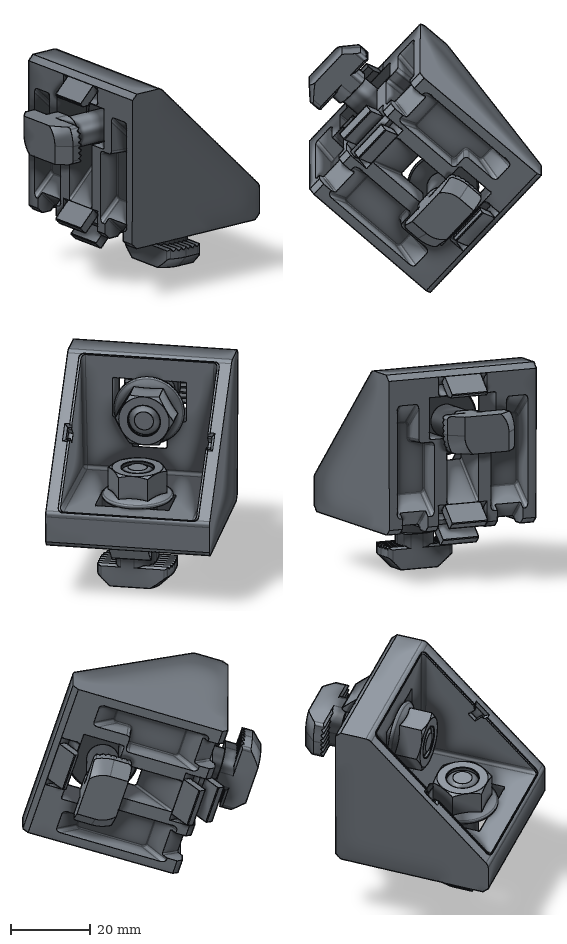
import cadquery as cq
import math

WIDTH = 42.0
LEG = 41.0
SLOPE_SUM = 50.0
LEG_THICKNESS = 9.5
CORNER_CHAMFER = 1.4
SLOPE_EDGE_RADIUS = 2.0
SIDE_DRAFT = 0.2

CAVITY_HALF_WIDTH = 17.45
CAVITY_DRAFT = 1.05
CAVITY_FILLET = 1.0
RIM_HALF_WIDTH = 18.0
RIM_LENGTH = 44.0
RIM_DEPTH = 0.2
RIM_CORNER_RADIUS = 1.35
SNAP_HALF_WIDTH = 18.5
SNAP_BEVEL = 0.7
SNAP_LENGTH = 2.5
SNAP_LIP_RADIUS = 1.2
SNAP_DEPTH = 3.25

BOLT_OFFSET = 26.5
WINDOW_HALF_WIDTH = 9.45
WINDOW_BOTTOM = 23.75
WINDOW_TOP = 34.5
WINDOW_CORNER_RADIUS = 0.3
WINDOW_FOOT_RADIUS = 0.65
SLOT_HALF_WIDTH = 4.5
SLOT_FLOOR_FILLET = 0.55

ROOT_SUM = 6.75
LOWER_ROOT = 6.6
UPPER_ROOT = 39.55
NOTCH_HALF_WIDTH = 6.85
UPPER_NOTCH_DEPTH = 2.45
UPPER_NOTCH_FILLET = 0.6
TONGUE_OFFSET = 1.4
TONGUE_SUM = 3.95
TAB_HALF_WIDTH = 5.05
TAB_RISE = 3.3
TAB_REACH = 8.25
TAB_ROOT_SINK = 0.55
TAB_TIP_CHAMFER = 0.2
END_TAB_FLOOR = 34.6

POCKET_OUTER_X = 18.5
POCKET_STEP_X = 12.45
POCKET_INNER_X = 8.05
POCKET_TOP = 33.05
POCKET_STEP = 23.1
POCKET_BOTTOM = 4.05
POCKET_DEPTH = 5.3
POCKET_DRAFT_ANGLE = 3.0
POCKET_CORNER_RADIUS = 1.0
POCKET_FLOOR_FILLET = 0.3
WEB_NOTCH_OUTER_X = 17.1
WEB_NOTCH_INNER_X = 9.85
WEB_NOTCH_FILLET = 0.4

BOLT_RADIUS = 4.05
BOLT_TIP_RADIUS = 2.45
BOLT_TIP_LENGTH = 0.9
NECK_RADIUS = 4.85
NECK_CORNER_RADIUS = 1.3
NECK_START = 4.4
TOOTH_CREST = 7.4
HEAD_CHAMFER_START = 10.05
HEAD_END = 13.3
HEAD_HALF_LENGTH = 9.5
HEAD_CORNER_RADIUS = 1.0
TOOTH_PITCH = 1.4
TOOTH_COUNT = 7

NUT_HEIGHT = 8.0
NUT_FLATS = 13.05
NUT_CHAMFER_RADIUS = 6.45
NUT_CHAMFER_ANGLE = 30.0
FLANGE_RADIUS = 9.0
FLANGE_EDGE = 0.5
FLANGE_SHOULDER_RADIUS = 8.65
FLANGE_SHOULDER_HEIGHT = 1.05
FLANGE_ANGLE = 23.0
NUT_SINK_RADIUS = 4.25

CLEAR = 2.7
NUT_TOP = LEG_THICKNESS + NUT_HEIGHT
CORNER_DEPTH = SLOPE_SUM / math.sqrt(2)


def side_prism(points, half_width):
    """Extrude a (Y, Z) outline symmetrically about the plane X = 0."""
    return cq.Workplane("YZ").polyline(points).close().extrude(half_width, both=True)


def x_range_prism(points, x_start, x_end):
    """Extrude a (Y, Z) outline between two X positions."""
    return cq.Workplane("YZ").workplane(offset=x_start).polyline(points).close().extrude(x_end - x_start)


def diagonal_wedge(half_width, draft):
    """Trapezoid narrowing from the sloping face to the corner, long enough to cover the whole bracket."""
    plane = cq.Plane((0, SLOPE_SUM / 2, SLOPE_SUM / 2), xDir=(1, 0, 0), normal=(0, 1, -1))
    overrun = CLEAR * draft / CORNER_DEPTH
    wide = half_width + overrun
    narrow = half_width - draft - overrun
    outline = [(-wide, -CLEAR), (wide, -CLEAR), (narrow, CORNER_DEPTH + CLEAR), (-narrow, CORNER_DEPTH + CLEAR)]
    return cq.Workplane(plane).polyline(outline).close().extrude(LEG, both=True)


def on_both_legs(feature):
    """The front-leg shape together with its mirror image on the bottom leg."""
    return [feature, feature.mirror((0, 1, -1))]


def bracket_blank():
    """Solid triangular block with cut-off ends and slightly drafted sides."""
    short_edge = SLOPE_SUM - LEG
    c = CORNER_CHAMFER
    outline = [
        (c, 0), (LEG - c, 0), (LEG, c), (LEG, short_edge),
        (short_edge, LEG), (c, LEG), (0, LEG - c), (0, c),
    ]
    blank = side_prism(outline, WIDTH / 2)
    for y, z in [(LEG, short_edge), (short_edge, LEG)]:
        blank = blank.edges(cq.selectors.NearestToPointSelector((0, y, z))).fillet(SLOPE_EDGE_RADIUS)
    return blank.intersect(diagonal_wedge(WIDTH / 2, SIDE_DRAFT))


def cavity():
    """Space between the side walls, running past the sloping face; its inner edges are rounded."""
    low, high = LEG_THICKNESS, LEG + CLEAR
    space = side_prism([(low, low), (high, low), (high, high), (low, high)], WIDTH)
    space = space.intersect(diagonal_wedge(CAVITY_HALF_WIDTH, CAVITY_DRAFT))
    inner_edges = space.faces("<Y or <Z").edges().filter(
        lambda edge: max(edge.Center().y, edge.Center().z) < LEG
    )
    return inner_edges.fillet(CAVITY_FILLET)


def slope_plane():
    """Plane on the sloping face: local X along X, local Y up the slope, normal into the bracket."""
    return cq.Plane((0, SLOPE_SUM / 2, SLOPE_SUM / 2), xDir=(1, 0, 0), normal=(0, -1, -1))


def cavity_rim():
    """Shallow seat around the cavity opening."""
    rim = cq.Workplane(slope_plane()).rect(2 * RIM_HALF_WIDTH, RIM_LENGTH).extrude(RIM_DEPTH)
    return rim.edges("|(0,1,1)").fillet(RIM_CORNER_RADIUS)


def snap_recesses():
    """Recesses at mid-slope with rounded lips and bevelled outer ends."""
    plane = cq.Plane((0, SLOPE_SUM / 2, SLOPE_SUM / 2), xDir=(0, -1, 1), normal=(1, 0, 0))
    inner = SNAP_LENGTH / 2
    outer = inner + SNAP_LIP_RADIUS
    r = SNAP_LIP_RADIUS
    arc_x = outer - r * math.sin(math.pi / 4)
    arc_depth = r - r * math.cos(math.pi / 4)
    lipped = (
        cq.Workplane(plane)
        .moveTo(-outer, 0)
        .threePointArc((-arc_x, arc_depth), (-inner, r))
        .lineTo(-inner, SNAP_DEPTH)
        .lineTo(inner, SNAP_DEPTH)
        .lineTo(inner, r)
        .threePointArc((arc_x, arc_depth), (outer, 0))
        .close()
        .extrude(SNAP_HALF_WIDTH, both=True)
    )
    bevel = (
        cq.Workplane(slope_plane())
        .rect(2 * (SNAP_HALF_WIDTH + SNAP_BEVEL), 2 * outer)
        .workplane(offset=SNAP_BEVEL)
        .rect(2 * SNAP_HALF_WIDTH, 2 * (outer - SNAP_BEVEL))
        .loft(ruled=True)
    )
    return lipped.union(bevel)


def window():
    opening = (
        cq.Workplane("XZ")
        .center(0, (WINDOW_TOP + WINDOW_BOTTOM) / 2)
        .rect(2 * WINDOW_HALF_WIDTH, WINDOW_TOP - WINDOW_BOTTOM)
        .extrude(-LEG_THICKNESS)
    )
    opening = opening.edges("|Y and >Z").fillet(WINDOW_CORNER_RADIUS)
    return opening.edges("|Y and <Z").fillet(WINDOW_FOOT_RADIUS)


def slot():
    """Narrow slot below the window whose floor climbs inward at 45 degrees."""
    outline = [
        (0, ROOT_SUM), (LEG_THICKNESS, LEG_THICKNESS + ROOT_SUM),
        (LEG_THICKNESS, BOLT_OFFSET), (0, BOLT_OFFSET),
    ]
    floor_edges = side_prism(outline, SLOT_HALF_WIDTH).faces("<(0,-1,1)").edges("|(0,1,1)")
    return floor_edges.fillet(SLOT_FLOOR_FILLET)


def upper_notch():
    """V-shaped notch behind the end tab."""
    d = UPPER_NOTCH_DEPTH
    outline = [(0, UPPER_ROOT), (d, UPPER_ROOT - d), (0, UPPER_ROOT - 2 * d)]
    notch = side_prism(outline, NOTCH_HALF_WIDTH)
    return notch.faces("<(0,-1,1)").edges("|(0,1,1)").fillet(UPPER_NOTCH_FILLET)


def corner_notch():
    """Notch across the corner between the legs, leaving a low rib along the plane Y = Z."""
    t = TONGUE_OFFSET
    root, tip = ROOT_SUM / 2, TONGUE_SUM / 2
    outline = [
        (-CLEAR, ROOT_SUM + CLEAR), (root - t / 2, root + t / 2), (tip - t / 2, tip + t / 2),
        (tip + t / 2, tip - t / 2), (root + t / 2, root - t / 2), (ROOT_SUM + CLEAR, -CLEAR), (-CLEAR, -CLEAR),
    ]
    return side_prism(outline, NOTCH_HALF_WIDTH)


def web_notch(side):
    """Gap that joins the pockets of the two legs at the corner."""
    outline = [(0, 0), (ROOT_SUM, 0), (0, ROOT_SUM)]
    x_near, x_far = sorted([side * WEB_NOTCH_INNER_X, side * WEB_NOTCH_OUTER_X])
    notch = x_range_prism(outline, x_near, x_far)
    return notch.faces(">(0,1,1)").edges("|(0,1,-1)").fillet(WEB_NOTCH_FILLET)


def tapered_pocket(x_start, x_end, top):
    """Straight-sided pocket in the front leg, narrowing towards its floor."""
    outline = cq.Workplane("XZ").center((x_start + x_end) / 2, (top + POCKET_BOTTOM) / 2)
    outline = outline.rect(abs(x_end - x_start), top - POCKET_BOTTOM)
    return outline.extrude(-POCKET_DEPTH, taper=POCKET_DRAFT_ANGLE)


def pocket(side):
    """L-shaped pocket in the front leg; its top and bottom faces close in at 45 degrees."""
    tall_arm = tapered_pocket(side * POCKET_OUTER_X, side * POCKET_STEP_X, POCKET_TOP)
    wide_arm = tapered_pocket(side * POCKET_OUTER_X, side * POCKET_INNER_X, POCKET_STEP)
    d = POCKET_DEPTH
    wedge = side_prism([(0, POCKET_BOTTOM), (d, POCKET_BOTTOM + d), (d, POCKET_TOP - d), (0, POCKET_TOP)], WIDTH)
    hollow = tall_arm.union(wide_arm).intersect(wedge)
    hollow = hollow.edges("not (<Y or >Y)").fillet(POCKET_CORNER_RADIUS)
    return hollow.faces(">Y").edges().fillet(POCKET_FLOOR_FILLET)


def tab(root_height):
    """Inclined tab whose upper face meets the front face at root_height; its root is sunk into the bracket."""
    inset = TAB_RISE / 2
    reach = TAB_REACH / 2
    sink = TAB_ROOT_SINK
    outline = [
        (sink, root_height + sink), (-reach, root_height - reach),
        (inset - reach, root_height - inset - reach), (inset + sink, root_height - inset + sink),
    ]
    return side_prism(outline, TAB_HALF_WIDTH).faces("<(0,1,1)").edges("|X").chamfer(TAB_TIP_CHAMFER)


def end_tab():
    """Tab at the free end of the front leg, cut off flat below."""
    keep = cq.Workplane("XY").workplane(offset=END_TAB_FLOOR).rect(WIDTH, LEG).extrude(LEG)
    return tab(UPPER_ROOT).intersect(keep)


def make_bracket():
    body = bracket_blank().cut(cavity()).cut(cavity_rim()).cut(snap_recesses()).cut(corner_notch())
    for feature in [window(), slot(), upper_notch(), pocket(-1), pocket(1)]:
        for cutter in on_both_legs(feature):
            body = body.cut(cutter)
    for side in (-1, 1):
        body = body.cut(web_notch(side))
    for feature in [tab(LOWER_ROOT), end_tab()]:
        for added in on_both_legs(feature):
            body = body.union(added)
    return body


def square_quadrants(half_length, top, bottom):
    """Two diagonally opposite quadrants of a head or neck, as plain blocks."""
    blocks = cq.Workplane("XY")
    for side in (-1, 1):
        block = (
            cq.Workplane("XY")
            .workplane(offset=bottom)
            .center(side * half_length / 2, side * NECK_RADIUS / 2)
            .rect(half_length, NECK_RADIUS)
            .extrude(top - bottom)
        )
        blocks = blocks.add(block)
    return blocks.combine()


def head_plan():
    """Plan of the head: a bar whose other two quadrants are rounded so that it can turn in a groove."""
    height = HEAD_END - TOOTH_CREST
    quadrants = square_quadrants(HEAD_HALF_LENGTH, -TOOTH_CREST, -HEAD_END)
    disc = cq.Workplane("XY").workplane(offset=-HEAD_END).circle(HEAD_HALF_LENGTH).extrude(height)
    bar = cq.Workplane("XY").workplane(offset=-HEAD_END).rect(2 * HEAD_HALF_LENGTH, 2 * NECK_RADIUS).extrude(height)
    plan = bar.intersect(disc.union(quadrants))
    return plan.edges("|Z").edges("<Y or >Y").fillet(HEAD_CORNER_RADIUS)


def bolt_head():
    """Head with flat bevels on the square quadrants, conical ones on the round quadrants, and a toothed top."""
    flat_half_length = HEAD_HALF_LENGTH - (HEAD_END - HEAD_CHAMFER_START)
    half_outline = [
        (0, -TOOTH_CREST), (HEAD_HALF_LENGTH, -TOOTH_CREST), (HEAD_HALF_LENGTH, -HEAD_CHAMFER_START),
        (flat_half_length, -HEAD_END), (0, -HEAD_END),
    ]
    half_bar = cq.Workplane("XZ").polyline(half_outline).close().extrude(NECK_RADIUS, both=True)
    bar = half_bar.union(half_bar.mirror("YZ"))
    round_head = cq.Workplane("XZ").polyline(half_outline).close().revolve(360, (0, 0), (0, 1))
    quadrants = square_quadrants(HEAD_HALF_LENGTH, -TOOTH_CREST, -HEAD_END)
    head = bar.intersect(round_head.union(quadrants)).intersect(head_plan())
    half_pitch = TOOTH_PITCH / 2
    for i in range(TOOTH_COUNT + 1):
        valley = (i - TOOTH_COUNT / 2) * TOOTH_PITCH
        groove = [
            (valley - half_pitch, -TOOTH_CREST),
            (valley, -TOOTH_CREST - half_pitch),
            (valley + half_pitch, -TOOTH_CREST),
        ]
        head = head.cut(side_prism(groove, HEAD_HALF_LENGTH))
    return head


def make_bolt():
    """T-bolt on the Z axis, head down, with Z = 0 at the leg's outer face."""
    neck_end = -(TOOTH_CREST + HEAD_CHAMFER_START) / 2
    neck = cq.Workplane("XY").workplane(offset=neck_end).circle(NECK_RADIUS).extrude(-NECK_START - neck_end)
    neck = neck.union(square_quadrants(NECK_RADIUS, -NECK_START, neck_end))
    neck = neck.edges("|Z").edges("(<X and <Y) or (>X and >Y)").fillet(NECK_CORNER_RADIUS)
    shank = (
        cq.Workplane("XZ")
        .polyline([
            (0, -NECK_START), (BOLT_RADIUS, -NECK_START), (BOLT_RADIUS, NUT_TOP - BOLT_TIP_LENGTH),
            (BOLT_TIP_RADIUS, NUT_TOP), (0, NUT_TOP),
        ])
        .close()
        .revolve(360, (0, 0), (0, 1))
    )
    return bolt_head().union(neck).union(shank)


def make_nut():
    """Flange nut on the Z axis, seated on the leg's inner face."""
    flange_top = FLANGE_SHOULDER_HEIGHT + FLANGE_SHOULDER_RADIUS * math.tan(math.radians(FLANGE_ANGLE))
    flange = (
        cq.Workplane("XZ")
        .lineTo(FLANGE_SHOULDER_RADIUS, 0)
        .threePointArc((FLANGE_RADIUS, FLANGE_EDGE), (FLANGE_SHOULDER_RADIUS, FLANGE_SHOULDER_HEIGHT))
        .lineTo(0, flange_top)
        .close()
        .revolve(360, (0, 0), (0, 1))
    )
    corner_radius = NUT_FLATS / math.sqrt(3)
    chamfer_drop = (corner_radius - NUT_CHAMFER_RADIUS) * math.tan(math.radians(NUT_CHAMFER_ANGLE))
    chamfered_round = (
        cq.Workplane("XZ")
        .polyline([
            (0, 0), (corner_radius, 0), (corner_radius, NUT_HEIGHT - chamfer_drop),
            (NUT_CHAMFER_RADIUS, NUT_HEIGHT), (0, NUT_HEIGHT),
        ])
        .close()
        .revolve(360, (0, 0), (0, 1))
    )
    hexagon = cq.Workplane("XY").polygon(6, 2 * corner_radius).extrude(NUT_HEIGHT).intersect(chamfered_round)
    nut = hexagon.union(flange).cut(cq.Workplane("XY").circle(BOLT_RADIUS).extrude(NUT_HEIGHT))
    bore_edge = nut.faces(">Z").edges("%CIRCLE").edges(cq.selectors.RadiusNthSelector(0))
    nut = bore_edge.chamfer(NUT_SINK_RADIUS - BOLT_RADIUS)
    return nut.translate((0, 0, LEG_THICKNESS))


def placed_on_legs(fastener):
    """One copy through the bottom leg and one, turned a quarter about X, through the front leg."""
    bottom = fastener.translate((0, BOLT_OFFSET, 0))
    front = fastener.rotate((0, 0, 0), (1, 0, 0), -90).translate((0, 0, BOLT_OFFSET))
    return [bottom.val(), front.val()]


bracket = make_bracket()
bolts = placed_on_legs(make_bolt())
nuts = placed_on_legs(make_nut())

result = cq.Compound.makeCompound([bracket.val(), *bolts, *nuts])